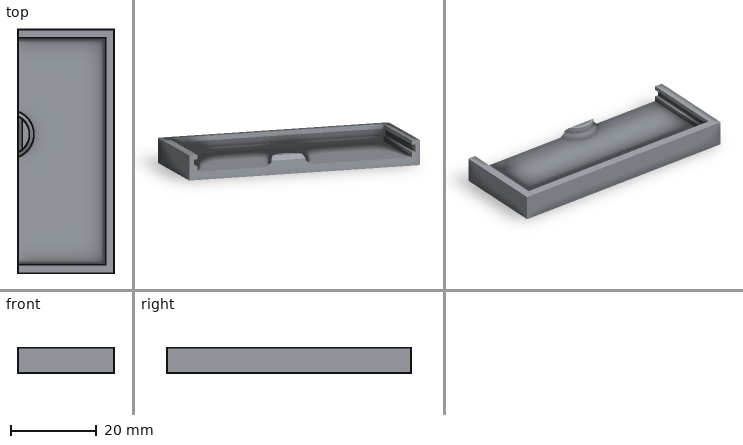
import cadquery as cq

depth = 22.5
length = 57.0
height = 6.0

wall = 2.0
groove_wall = 1.2
floor_z = 2.0
groove_bottom_z = 3.25
groove_top_z = 4.95

catch_y = 4.0
catch_axis_x = -1.9
catch_radius = 4.6
catch_top_z = 4.45
flare = 1.0
ramp_start_z = 3.4
ramp_length = 1.0


def open_pocket(side_wall, bottom_z, top_z):
    """Box open towards -X that leaves side_wall on the other three sides."""
    return (
        cq.Workplane("XY", origin=(0, 0, bottom_z))
        .rect(2 * (depth - side_wall), length - 2 * side_wall)
        .extrude(top_z - bottom_z)
    )


def lid_catch():
    """Flared round boss, trimmed to the open side with a lead-in ramp."""
    foot_radius = catch_radius + flare
    boss = (
        cq.Workplane("XZ")
        .moveTo(0, 0)
        .lineTo(foot_radius, 0)
        .lineTo(foot_radius, floor_z)
        .lineTo(catch_radius, floor_z + flare)
        .lineTo(catch_radius, catch_top_z)
        .lineTo(0, catch_top_z)
        .close()
        .revolve(360, (0, 0), (0, 1))
        .translate((catch_axis_x, catch_y, 0))
    )
    ramp_profile = (
        cq.Workplane("XZ", origin=(0, catch_y, 0))
        .moveTo(0, 0)
        .lineTo(0, ramp_start_z)
        .lineTo(ramp_length, catch_top_z)
        .lineTo(foot_radius, catch_top_z)
        .lineTo(foot_radius, 0)
        .close()
        .extrude(foot_radius, both=True)
    )
    return boss.intersect(ramp_profile)


tray = cq.Workplane("XY").box(depth, length, height, centered=(False, True, False))
tray = tray.cut(open_pocket(wall, floor_z, height))
tray = tray.cut(open_pocket(groove_wall, groove_bottom_z, groove_top_z))
result = tray.union(lid_catch())